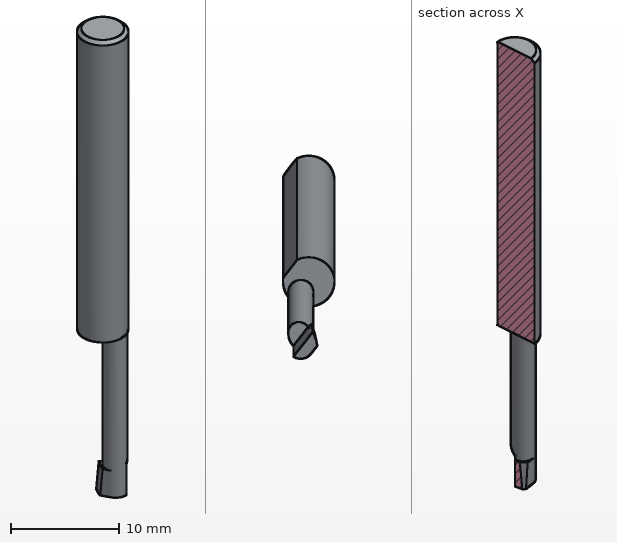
import cadquery as cq

total_length = 50.8
shank_radius = 2.4
shank_bottom = 17.8
flat_offset = 2.15
chamfer_radial = 0.4
chamfer_height = 0.35

neck_radius = 1.15
neck_center_x = shank_radius - neck_radius
relief_top = 4.55
relief_bottom = 3.55

head_height = 3.15
head_lean = 0.25
tip_x = -0.65
flank_edge_x = -0.15
flank_edge_y = -0.75
heel_edge_x = 0.2
end_rise_x = 0.1
end_rise_y = 0.15


def make_shank():
    shank = (
        cq.Workplane("XY", origin=(0, 0, shank_bottom))
        .circle(shank_radius)
        .extrude(total_length - shank_bottom)
        .faces(">Z")
        .chamfer(chamfer_height, chamfer_radial)
    )
    beyond_flat = cq.Workplane("XY").box(
        2 * shank_radius, shank_radius, total_length, centered=(True, False, False)
    )
    return shank.cut(beyond_flat.translate((0, flat_offset, 0)))


def make_neck():
    neck = cq.Workplane("XY").center(neck_center_x, 0).circle(neck_radius).extrude(shank_bottom)
    relief = (
        cq.Workplane("YZ")
        .polyline([(0, 0), (neck_radius, 0), (neck_radius, relief_top), (0, relief_bottom)])
        .close()
        .extrude(2 * shank_radius)
    )
    return neck.cut(relief)


def head_section(lean):
    """Corners of the head in plan, with the flanks shifted by lean along X."""
    return [
        (tip_x + lean, 0),
        (flank_edge_x + lean, flank_edge_y),
        (heel_edge_x + lean, -neck_radius),
        (neck_center_x, -neck_radius),
        (neck_center_x, 0),
    ]


def make_head():
    return (
        cq.Workplane("XY")
        .polyline(head_section(0))
        .close()
        .workplane(offset=head_height)
        .polyline(head_section(head_lean))
        .close()
        .loft(ruled=True, combine=True)
    )


def make_end_clearance():
    """Block below the end face, which rises from the tip towards +X and -Y."""
    slope_x = end_rise_x / (shank_radius - tip_x)
    slope_y = -end_rise_y / neck_radius
    end_plane = cq.Plane(origin=(tip_x, 0, 0), xDir=(1, 0, slope_x), normal=(-slope_x, -slope_y, 1))
    block_size = 4 * shank_radius
    return cq.Workplane(end_plane).rect(block_size, block_size).extrude(-shank_radius)


result = make_shank().union(make_neck()).union(make_head()).cut(make_end_clearance())